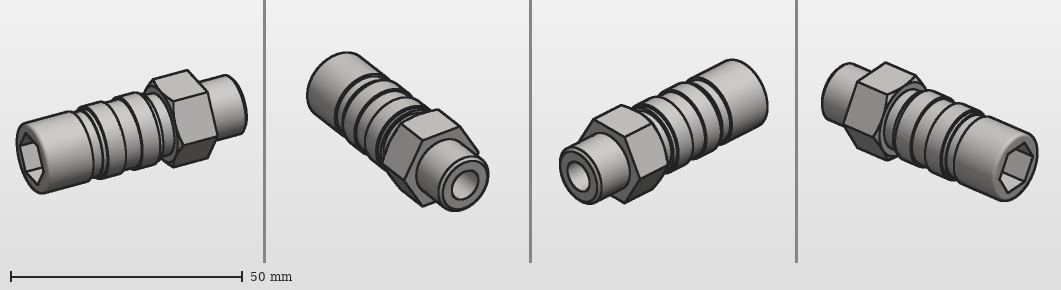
import cadquery as cq
import math


collar_diameter = 15.75
collar_end = 11.0
collar_fillet = 0.8
groove_diameter = 14.6
groove_end = 13.5
sleeve_diameter = 15.2
sleeve_end = 28.0
neck_diameter = 13.8

band_diameter = 16.2
band_width = 4.25
band_margin = 1.0

nut_start = 31.0
nut_length = 9.0
nut_across_flats = 17.0
nut_chamfer_angle = 30.0

spigot_diameter = 13.2
spigot_length = 9.0
spigot_chamfer_depth = 0.75
spigot_chamfer_length = 0.65

socket_across_flats = 10.0
socket_depth = collar_end
wide_bore_diameter = 9.0
wide_bore_depth = nut_start
through_hole_diameter = 7.0

nut_end = nut_start + nut_length
total_length = nut_end + spigot_length


def plane_at(y):
    """Work plane across the part axis at the given Y, with its normal along +Y."""
    return cq.Workplane(cq.Plane(origin=(0, y, 0), xDir=(1, 0, 0), normal=(0, 1, 0)))


def cylinder(diameter, start, end):
    return plane_at(start).circle(diameter / 2).extrude(end - start)


def hexagon(across_flats, start, end):
    across_corners = across_flats / math.cos(math.radians(30))
    return plane_at(start).polygon(6, across_corners).extrude(end - start)


def make_collar():
    collar = cylinder(collar_diameter, 0, collar_end)
    return collar.faces("<Y").edges().fillet(collar_fillet)


def make_sleeve():
    sleeve = cylinder(sleeve_diameter, groove_end, sleeve_end)
    first_band_start = groove_end + band_margin
    last_band_start = sleeve_end - band_margin - band_width
    for start in (first_band_start, last_band_start):
        sleeve = sleeve.union(cylinder(band_diameter, start, start + band_width))
    return sleeve


def make_nut():
    """Hexagon whose socket-side corners are turned off by a cone touching the flats."""
    face_radius = nut_across_flats / 2
    cone_slope = math.tan(math.radians(nut_chamfer_angle))
    outer_radius = face_radius + nut_length / cone_slope
    cone = (
        cq.Workplane("XY")
        .moveTo(0, nut_start)
        .lineTo(face_radius, nut_start)
        .lineTo(outer_radius, nut_end)
        .lineTo(0, nut_end)
        .close()
        .revolve(360, (0, 0, 0), (0, 1, 0))
    )
    return hexagon(nut_across_flats, nut_start, nut_end).intersect(cone)


def make_spigot():
    radius = spigot_diameter / 2
    return (
        cq.Workplane("XY")
        .moveTo(0, nut_end)
        .lineTo(radius, nut_end)
        .lineTo(radius, total_length - spigot_chamfer_length)
        .lineTo(radius - spigot_chamfer_depth, total_length)
        .lineTo(0, total_length)
        .close()
        .revolve(360, (0, 0, 0), (0, 1, 0))
    )


def make_bore():
    socket = hexagon(socket_across_flats, 0, socket_depth)
    wide_bore = cylinder(wide_bore_diameter, 0, wide_bore_depth)
    through_hole = cylinder(through_hole_diameter, 0, total_length)
    return socket.union(wide_bore).union(through_hole)


body = (
    make_collar()
    .union(cylinder(groove_diameter, collar_end, groove_end))
    .union(make_sleeve())
    .union(cylinder(neck_diameter, sleeve_end, nut_start))
    .union(make_nut())
    .union(make_spigot())
)
result = body.cut(make_bore())